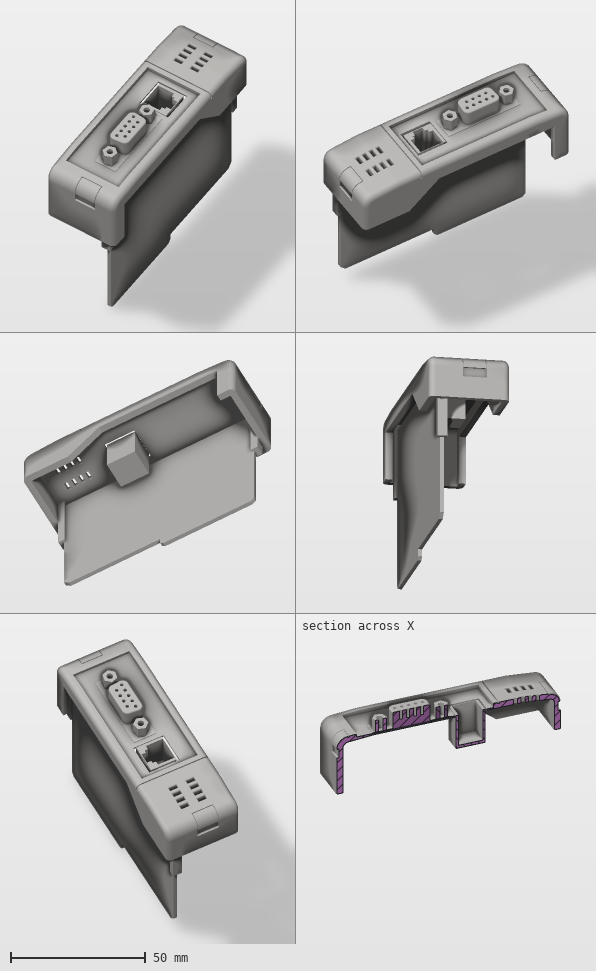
import cadquery as cq
import math


width = 30.5
length = 90.0
front_depth = 25.1
rear_depth = 17.5
wall = 2.6
edge_radius = 2.2
bend_y = 29.8
rear_drop, front_drop = 1.5, 1.1
rear_radius, front_radius = 4.2, 4.9

opening_depth = 6.9
opening_front_y = -38.2
opening_rear_y = 12.2
opening_slope_end_y = 25.4

groove_y = 20.0
groove_width = 0.5
groove_depth = 0.5

tab_width = 9.0
tab_slit = 0.3
tab_slit_depth = 0.45
tab_bottom = 5.6
rear_tab_x, rear_tab_y = -1.9, 40.0
front_tab_x, front_tab_y = 2.1, -40.0
pocket_bottom = 9.2
pocket_depth = 0.9

window_x, window_y = -0.4, 31.3
window_columns, window_rows = 2, 4
window_column_pitch, window_row_pitch = 7.3, 3.0
window_length, window_height = 3.2, 1.35
window_rounding = 0.5

panel_half_width = 11.8
panel_rear_y, panel_front_y = 17.8, -37.0
panel_depth = 1.8
faceplate_front_y = -31.5
jack_hole_size = 12.8
jack_hole_x, jack_hole_y = 1.0, 9.0

board_x = 9.7
board_thickness = 1.5
board_top = 5.4
board_rear_y, board_front_y = 40.6, -40.2
board_rear_depth, board_depth = 63.2, 67.3
board_step_y = -0.4
board_rear_chamfer, board_front_chamfer = 2.2, 1.35
rail_width = 3.7
rail_depth = 31.9
rail_rear_y, rail_front_y = 39.7, -39.4

jack_size_x, jack_size_y = 10.8, 11.9
jack_x, jack_y = 0.9, 8.8
jack_bottom = 16.4
jack_floor = 1.35
jack_socket_left = -4.3
jack_socket_steps = [(2.8, 4.9), (4.1, 3.2), (6.0, 2.2)]

connector_x, connector_y = 1.4, -14.9
flange_width, flange_length, flange_thickness = 9.2, 31.1, 0.3
flange_top = flange_thickness - panel_depth
shell_width = 8.1
shell_long_half, shell_short_half = 7.9, 7.2
shell_top = 5.5
shell_radius = 2.25
shell_rim_radius = 0.5
shell_root_radius = 0.45
contact_diameter = 1.35
contact_depth = 3.6
contact_pitch = 2.8
contact_row_spacing = 2.8
contact_rows = [(-1, 5), (1, 4)]

screw_spacing = 24.7
screw_flats = 4.95
screw_top = 3.7
screw_hole = 2.4
screw_turn = 11.0

selection_margin = 0.1


def box(x0, x1, y0, y1, z0, z1):
    return cq.Workplane("XY").box(x1 - x0, y1 - y0, z1 - z0, centered=False).translate((x0, y0, z0))


def rounded_block(inset, bottom):
    """The outer form of the housing, moved inward by `inset` and closed at the level `bottom`."""
    end_y = length / 2 - inset
    slope_share = (end_y - bend_y) / (length / 2 - bend_y)
    rear_z = -inset - rear_drop * slope_share
    front_z = -inset - front_drop * slope_share
    profile = [
        (-end_y, bottom), (-end_y, front_z), (-bend_y, -inset),
        (bend_y, -inset), (end_y, rear_z), (end_y, bottom),
    ]
    block = cq.Workplane("YZ").polyline(profile).close().extrude(width / 2 - inset, both=True)
    rear_corner = cq.selectors.NearestToPointSelector((0, end_y, rear_z))
    block = block.edges(rear_corner).fillet(rear_radius - inset)
    front_corner = cq.selectors.NearestToPointSelector((0, -end_y, front_z))
    block = block.edges(front_corner).fillet(front_radius - inset)
    if inset < edge_radius:
        above_bottom = cq.selectors.BoxSelector(
            (-width, -length, bottom + edge_radius / 2), (width, length, edge_radius))
        block = block.faces("<X or >X").edges(above_bottom).fillet(edge_radius - inset)
    return block


def side_opening():
    """Everything below the stepped lower edge of the side walls and the rear wall."""
    below = -2 * front_depth
    outline = [
        (opening_front_y, below), (opening_front_y, -opening_depth),
        (opening_rear_y, -opening_depth), (opening_slope_end_y, -rear_depth),
        (length, -rear_depth), (length, below),
    ]
    return cq.Workplane("YZ").polyline(outline).close().extrude(width, both=True)


def top_groove():
    y0 = groove_y - groove_width / 2
    bottom = -edge_radius - groove_depth
    band = box(-width, width, y0, y0 + groove_width, bottom, edge_radius)
    return band.cut(rounded_block(groove_depth, -front_depth))


def tab_cut(x, inner_y, side):
    """Groove around a snap tab and the pocket below it; `side` is 1 at the rear and -1 at the front."""
    half = tab_width / 2

    def end_region(margin, bottom, top):
        y0, y1 = sorted((inner_y + side * margin, side * length))
        return box(x - half + margin, x + half - margin, y0, y1, bottom, top)

    groove = end_region(0, -tab_bottom, edge_radius).cut(end_region(tab_slit, -tab_bottom, edge_radius))
    groove = groove.cut(rounded_block(tab_slit_depth, -front_depth))
    pocket = end_region(0, -pocket_bottom, -tab_bottom).cut(rounded_block(pocket_depth, -front_depth))
    return groove.union(pocket)


def with_windows(body):
    """Cuts the indicator windows and rounds their outer edges."""
    depth = 2 * wall
    half_x, half_y = window_length / 2, window_height / 2
    for column in range(window_columns):
        for row in range(window_rows):
            x = window_x + (column - (window_columns - 1) / 2) * window_column_pitch
            y = window_y + (row - (window_rows - 1) / 2) * window_row_pitch
            body = body.cut(box(x - half_x, x + half_x, y - half_y, y + half_y, -depth, edge_radius))
            reach_x, reach_y = half_x + selection_margin, half_y + selection_margin
            rim = cq.selectors.BoxSelector((x - reach_x, y - reach_y, -rear_drop),
                                           (x + reach_x, y + reach_y, edge_radius))
            body = body.edges(rim).fillet(window_rounding)
    return body


def rail(y0, y1):
    return box(board_x - rail_width / 2, board_x + rail_width / 2, y0, y1, -rail_depth, -wall)


def board_solid():
    rear_c, front_c = board_rear_chamfer, board_front_chamfer
    outline = [
        (board_rear_y, -board_top),
        (board_rear_y, rear_c - board_rear_depth),
        (board_rear_y - rear_c, -board_rear_depth),
        (board_step_y, -board_rear_depth),
        (board_step_y, front_c - board_depth),
        (board_step_y - front_c, -board_depth),
        (board_front_y + front_c, -board_depth),
        (board_front_y, front_c - board_depth),
        (board_front_y, -board_top),
    ]
    plate = cq.Workplane("YZ").polyline(outline).close().extrude(board_thickness / 2, both=True)
    return plate.translate((board_x, 0, 0))


def faceplate_solid():
    plate = box(-panel_half_width, panel_half_width, faceplate_front_y, panel_rear_y, -wall, -panel_depth)
    hole = cq.Workplane("XY").center(jack_hole_x, jack_hole_y).rect(jack_hole_size, jack_hole_size)
    return plate.cut(hole.extrude(-2 * wall))


def housing_solid():
    body = with_windows(rounded_block(0, -front_depth))
    body = body.cut(rounded_block(wall, -2 * front_depth))
    body = body.cut(side_opening())
    body = body.cut(top_groove())
    body = body.cut(tab_cut(rear_tab_x, rear_tab_y, 1))
    body = body.cut(tab_cut(front_tab_x, front_tab_y, -1))
    body = body.cut(box(-panel_half_width, panel_half_width, panel_front_y, panel_rear_y,
                        -panel_depth, edge_radius))
    body = body.cut(box(-panel_half_width, panel_half_width, faceplate_front_y, panel_rear_y, -wall, 0))
    inner_y = length / 2 - wall
    body = body.union(rail(rail_rear_y, inner_y)).union(rail(-inner_y, rail_front_y))
    return body.cut(board_solid())


def jack_solid():
    body = box(jack_x - jack_size_x / 2, jack_x + jack_size_x / 2,
               jack_y - jack_size_y / 2, jack_y + jack_size_y / 2, -jack_bottom, -panel_depth)
    for right, half in jack_socket_steps:
        body = body.cut(box(jack_socket_left, right, jack_y - half, jack_y + half,
                            jack_floor - jack_bottom, 0))
    return body


def connector_solid():
    flange = cq.Workplane("XY").workplane(offset=-panel_depth).rect(flange_width, flange_length)
    flange = flange.extrude(flange_thickness)
    half = shell_width / 2
    outline = [
        (-half, -shell_long_half), (half, -shell_short_half),
        (half, shell_short_half), (-half, shell_long_half),
    ]
    shell = cq.Workplane("XY").workplane(offset=flange_top).polyline(outline).close()
    shell = shell.extrude(shell_top - flange_top).edges("|Z").fillet(shell_radius)
    shell = shell.faces(">Z").edges().fillet(shell_rim_radius)
    body = flange.union(shell)
    root = cq.selectors.BoxSelector(
        (-half - selection_margin, -shell_long_half - selection_margin, flange_top - selection_margin),
        (half + selection_margin, shell_long_half + selection_margin, flange_top + selection_margin))
    body = body.edges(root).fillet(shell_root_radius)
    for row, count in contact_rows:
        contacts = (
            cq.Workplane("XY").workplane(offset=shell_top)
            .center(row * contact_row_spacing / 2, 0)
            .rarray(0.9, contact_pitch, 1, count)
            .circle(contact_diameter / 2)
            .extrude(-contact_depth)
        )
        body = body.cut(contacts)
    return body.translate((connector_x, connector_y, 0))


def screw_solid(side):
    """One jack screw; `side` is 1 for the rear one and -1 for the front one."""
    screw = (
        cq.Workplane("XY").workplane(offset=flange_top)
        .polygon(6, screw_flats / math.cos(math.pi / 6))
        .circle(screw_hole / 2)
        .extrude(screw_top - flange_top)
    )
    screw = screw.rotate((0, 0, 0), (0, 0, 1), 90 + side * screw_turn)
    return screw.translate((connector_x, connector_y + side * screw_spacing / 2, 0))


housing = housing_solid()
faceplate = faceplate_solid()
board = board_solid()
jack = jack_solid()
connector = connector_solid()
screws = [screw_solid(side) for side in (1, -1)]

result = cq.Compound.makeCompound([
    housing.val(), faceplate.val(), board.val(), jack.val(), connector.val(),
    *[screw.val() for screw in screws],
])